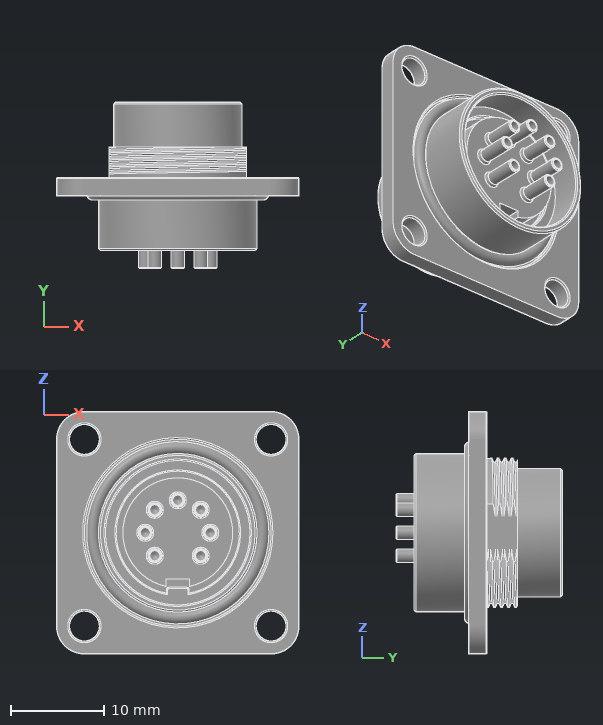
import cadquery as cq
import math


flange_side = 26.0
flange_thick = 1.98
flange_corner_radius = 3.0
flange_rear_chamfer = 0.1
mount_pitch = 20.02
mount_hole_dia = 3.2
mount_countersink = 0.18

seal_section_radius = 0.65
seal_centre_radius = 9.13
seal_protrusion = 0.47
groove_dia = 20.05
groove_depth = 0.8
groove_chamfer = 0.18

barrel_dia = 17.0
barrel_bore_dia = 15.5
barrel_length = 5.88
barrel_outer_chamfer = 0.2
barrel_inner_chamfer = 0.15

shoulder_depth = 3.54
seat_dia = 13.2
seat_chamfer = 0.13
insert_dia = 11.78
insert_depth = 2.03
seat_floor_depth = 4.15
key_width = 2.45
key_top_radius = 5.82
key_corner_radius = 0.35
key_edge_chamfer = 0.13
keyway_width = 2.52
keyway_radius = 4.95

pin_dia = 1.48
pin_circle_radius = 3.48
pin_reach = 7.77
pin_chamfer = 0.1
pin_places = 8
pin_bore_dia = 1.1
pin_bore_depth = 2.0
pin_bore_point = 0.3
collar_dia = 1.82
collar_height = 0.36
collar_top_dia = 1.5

thread_length = 3.25
thread_major_dia = 16.0
thread_depth = 0.4
thread_pitch = 0.75
thread_flat_spacing = 14.77
thread_groove_start = 0.23
thread_crest_width = 0.15
thread_root_width = 0.2
thread_overcut = 0.03
rear_barrel_dia = 13.8
rear_length = 4.8
rear_chamfer = 0.2


def cylinder(diameter, y_start, y_end):
    """Solid cylinder on the connector axis between two Y positions."""
    return cq.Workplane("XZ", origin=(0, y_end, 0)).circle(diameter / 2).extrude(y_end - y_start)


def box(width, y_start, y_end, z_start, z_end):
    """Box centred on X."""
    return cq.Workplane("XY").box(width, y_end - y_start, z_end - z_start).translate(
        (0, (y_start + y_end) / 2, (z_start + z_end) / 2)
    )


thread_start = flange_thick
thread_end = thread_start + thread_length
rear_end = thread_end + rear_length
thread_root_radius = thread_major_dia / 2 - thread_depth
barrel_end = -barrel_length
shoulder_y = barrel_end + shoulder_depth
insert_y = barrel_end + insert_depth
seat_floor_y = barrel_end + seat_floor_depth


def make_flange():
    flange = (
        cq.Workplane("XZ", origin=(0, flange_thick, 0))
        .rect(flange_side, flange_side)
        .extrude(flange_thick)
        .edges("|Y")
        .fillet(flange_corner_radius)
        .faces(">Y")
        .chamfer(flange_rear_chamfer)
    )
    return (
        flange.faces("<Y")
        .workplane(origin=(0, 0, 0))
        .rect(mount_pitch, mount_pitch, forConstruction=True)
        .vertices()
        .cskHole(mount_hole_dia, mount_hole_dia + 2 * mount_countersink, 90)
    )


def cut_seal_groove(body):
    groove = cylinder(groove_dia, 0, groove_depth)
    mouth = cq.Workplane("XZ").circle(groove_dia / 2 + groove_chamfer).workplane(offset=-groove_chamfer)
    mouth = mouth.circle(groove_dia / 2).loft()
    return body.cut(groove).cut(mouth)


def make_seal():
    centre_y = seal_section_radius - seal_protrusion
    return (
        cq.Workplane("XY")
        .center(seal_centre_radius, centre_y)
        .circle(seal_section_radius)
        .revolve(360, (-seal_centre_radius, 0), (-seal_centre_radius, 1))
    )


def make_front_barrel():
    barrel = cylinder(barrel_dia, barrel_end, flange_thick).faces("<Y").chamfer(barrel_outer_chamfer)
    bore = cylinder(barrel_bore_dia, barrel_end, shoulder_y)
    barrel = barrel.cut(bore)
    return barrel.faces("<Y").edges("%CIRCLE").edges(cq.selectors.RadiusNthSelector(0)).chamfer(barrel_inner_chamfer)


def make_seat_recess():
    """Recess in the shoulder, chamfered at its mouth, with the locating key left standing in it."""
    mouth = (
        cq.Workplane("XZ", origin=(0, shoulder_y, 0))
        .circle(seat_dia / 2 + seat_chamfer)
        .workplane(offset=-seat_chamfer)
        .circle(seat_dia / 2)
        .loft()
    )
    key = (
        box(key_width, shoulder_y, seat_floor_y, -barrel_bore_dia / 2, -key_top_radius)
        .edges("|Y and >Z")
        .fillet(key_corner_radius)
        .faces("<Y")
        .edges("not <Z")
        .chamfer(key_edge_chamfer)
    )
    return cylinder(seat_dia, shoulder_y, seat_floor_y).union(mouth).cut(key)


def make_insert():
    """Contact carrier standing up from the seat floor, slotted to clear the key."""
    keyway = box(keyway_width, insert_y, seat_floor_y, -insert_dia, -keyway_radius)
    return cylinder(insert_dia, insert_y, flange_thick).cut(keyway)


def make_pin():
    """Hollow pin on the axis, rising from its tapered collar."""
    bore_radius = pin_bore_dia / 2
    tip = -pin_reach
    bore_end = tip + pin_bore_depth
    pin_radius = pin_dia / 2
    outline = [
        (0, seat_floor_y),
        (pin_radius, seat_floor_y),
        (pin_radius, insert_y),
        (collar_dia / 2, insert_y),
        (collar_top_dia / 2, insert_y - collar_height),
        (pin_radius, insert_y - collar_height),
        (pin_radius, tip + pin_chamfer),
        (pin_radius - pin_chamfer, tip),
        (bore_radius, tip),
        (bore_radius, bore_end),
        (0, bore_end + pin_bore_point),
    ]
    return cq.Workplane("XY").polyline(outline).close().revolve(360, (0, 0), (0, 1))


def add_pins(body):
    """Pins at equal steps on the pin circle, leaving out the place above the key."""
    step = 360 / pin_places
    for place in range(1, pin_places):
        angle = math.radians(-90 + place * step)
        x = pin_circle_radius * math.cos(angle)
        z = pin_circle_radius * math.sin(angle)
        body = body.union(make_pin().translate((x, 0, z)))
    return body


def make_thread_groove():
    """Helical V groove with a flat root, starting near the flange and running past the stem end."""
    half_root = thread_root_width / 2
    half_mouth = (thread_pitch - thread_crest_width) / 2
    groove_height = thread_depth + thread_overcut
    path = cq.Wire.makeHelix(thread_pitch, thread_length + thread_pitch, thread_root_radius)
    groove = (
        cq.Workplane("XZ", origin=(thread_root_radius, 0, 0))
        .moveTo(0, -half_root)
        .lineTo(groove_height, -half_mouth)
        .lineTo(groove_height, half_mouth)
        .lineTo(0, half_root)
        .close()
        .sweep(cq.Workplane(path), isFrenet=True)
    )
    return groove.rotate((0, 0, 0), (1, 0, 0), -90).translate((0, thread_start + thread_groove_start, 0))


def make_rear():
    barrel = cylinder(rear_barrel_dia, thread_start, rear_end).faces(">Y").chamfer(rear_chamfer)
    blank = cylinder(thread_major_dia, thread_start - thread_pitch, thread_end + 3 * thread_pitch)
    trim = box(thread_flat_spacing, thread_start, thread_end, -thread_major_dia, thread_major_dia)
    return barrel.union(blank.cut(make_thread_groove()).intersect(trim))


body = cut_seal_groove(make_flange())
body = body.union(make_front_barrel())
body = body.union(make_seal())
body = body.cut(make_seat_recess())
body = body.union(make_insert())
body = body.union(make_rear())
result = add_pins(body)